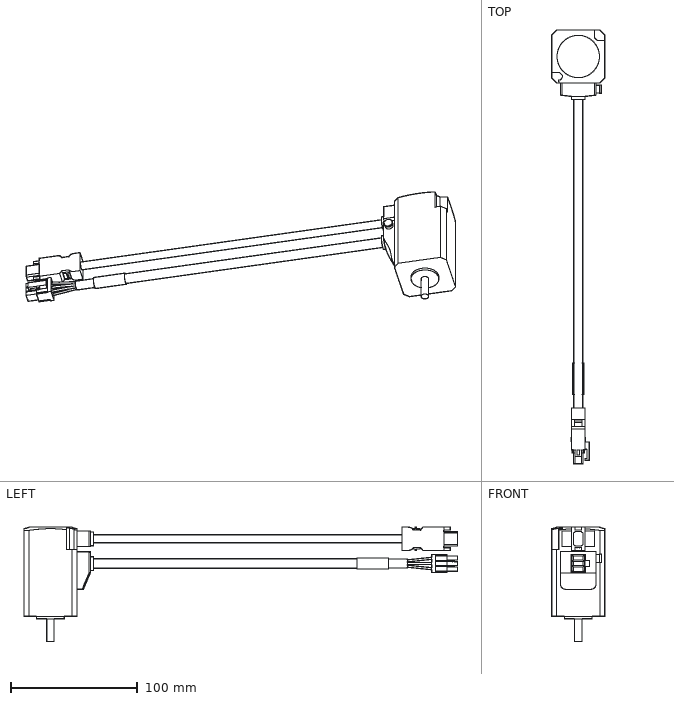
import cadquery as cq
import math


overall_length = 342.0
embed = 1.0

motor_width = 42.0
half_width = motor_width / 2
corner_chamfer = 4.0
motor_top = 70.4
cap_diameter = 36.0
cap_flat_diameter = 33.4
cap_bevel_drop = 0.6
cover_slope = 0.23
pilot_diameter = 22.0
pilot_height = 2.0
shaft_diameter = 6.0
shaft_length = 20.0
screw_pocket_size = 8.3
screw_pocket_chamfer = 2.2
screw_pocket_floor = 52.6
pocket_arc_radius = 3.1
pocket_arc_centre = -15.6
pocket_mouth_x = -15.0

signal_z = 61.1
power_z = 41.6
outlet_edge_y = -30.5
outlet_sag = 1.2
signal_outlet_width = 26.0
signal_outlet_height = 12.4
power_outlet_width = 28.0
power_outlet_top = 50.9
power_outlet_bottom = 21.3
power_slope_top = 34.3
power_slope_foot_y = -24.9
power_outlet_corner = 4.0
collar_end_y = -34.0
collar_diameter = 11.0
ground_screw_y = -25.7
ground_screw_z = 45.7
ground_screw_end_x = 18.2
ground_screw_diameter = 6.2
ground_head_diameter = 6.8
ground_head_height = 1.5

lead_tip_y = half_width - overall_length
signal_cable_diameter = 6.4
signal_housing_start_y = -277.0
signal_housing_end_y = -310.0
signal_housing_width = 11.0
signal_housing_height = 18.6
signal_plug_width = 7.2
signal_plug_height = 11.4
signal_plug_chamfer = 1.2
signal_tab_end_y = -315.3
signal_tab_thickness = 2.4
signal_tab_width = 5.0
signal_tab_slot_width = 1.8
signal_tab_slot_length = 4.0
waist_start_y = -282.0
waist_floor_y = -286.0
waist_end_y = -293.5
waist_depth = 2.4
waist_end_slope = 1.8
clip_length = 5.4
clip_width = 6.2
clip_height = 1.2
clip_pip_offset = 1.4
clip_pip_length = 1.0
clip_pip_height = 2.3

power_cable_diameter = 7.8
sleeve_start_y = -241.5
sleeve_end_y = -266.5
sleeve_diameter = 9.0
core_diameter = 7.2
core_end_y = -281.3
wire_diameter = 1.8
power_housing_start_y = -300.4
power_housing_end_y = -312.4
power_housing_width = 9.8
power_flange_width = 11.3
power_flange_length = 3.0
power_housing_height = 14.4
power_plug_width = 7.6
power_plug_height = 12.2
pin_rows = 3
pin_columns = 2
pin_pitch = 4.2
wire_bundle_pitch = 2.0
pin_gap = 1.0
housing_groove_width = 0.8
housing_groove_depth = 0.6
latch_start_y = -303.8
latch_end_y = -318.3
latch_end_x = 8.8
latch_arm_inner_x = 6.8
latch_height = 5.0
latch_root_end_y = -309.6
latch_hook_length = 1.6
latch_hook_inner_x = 5.2


def box(x0, x1, y0, y1, z0, z1):
    """Axis-aligned block between pairs of opposite limits."""
    size = (abs(x1 - x0), abs(y1 - y0), abs(z1 - z0))
    centre = ((x0 + x1) / 2, (y0 + y1) / 2, (z0 + z1) / 2)
    return cq.Workplane("XY").box(*size).translate(centre)


def centred_box(width, y0, y1, height, z):
    """Block centred on X = 0 and on height z."""
    return box(-width / 2, width / 2, y0, y1, z - height / 2, z + height / 2)


def rod(start, end, diameter):
    """Round bar between two points."""
    axis = cq.Vector(*end) - cq.Vector(*start)
    return cq.Workplane(cq.Solid.makeCylinder(diameter / 2, axis.Length, cq.Vector(*start), axis))


def lead_rod(y0, y1, z, diameter):
    """Round bar along Y on the axis of a lead."""
    return rod((0, y0, z), (0, y1, z), diameter)


def motor_body():
    """Square motor with chamfered corners under a shallow conical cover with a raised flat cap."""
    cap_radius = cap_diameter / 2
    cap_edge_z = motor_top - cap_bevel_drop
    outer_radius = half_width * math.sqrt(2)
    outer_z = cap_edge_z - cover_slope * (outer_radius - cap_radius)
    column = cq.Workplane("XY").rect(motor_width, motor_width).extrude(motor_top)
    column = column.edges("|Z").chamfer(corner_chamfer)
    turned = (
        cq.Workplane("XZ")
        .polyline([
            (0, 0),
            (outer_radius, 0),
            (outer_radius, outer_z),
            (cap_radius, cap_edge_z),
            (cap_flat_diameter / 2, motor_top),
            (0, motor_top),
        ])
        .close()
        .revolve()
    )
    return column.intersect(turned)


def rear_screw_pocket():
    """Square pocket with a chamfered inner corner above the mounting screw in the +X+Y corner."""
    inner = half_width - screw_pocket_size
    pocket = box(inner, half_width, inner, half_width, screw_pocket_floor, motor_top)
    return pocket.edges("|Z").edges("<(1,1,0)").chamfer(screw_pocket_chamfer)


def front_screw_pocket():
    """Pocket in the -X-Y corner, with a rounded lip towards the lead outlets."""
    inner = screw_pocket_size - half_width
    arc_side_x = pocket_arc_centre + pocket_arc_radius
    arc_foot_y = pocket_arc_centre - pocket_arc_radius
    arc_middle = pocket_arc_radius * math.sqrt(0.5)
    return (
        cq.Workplane("XY", origin=(0, 0, screw_pocket_floor))
        .moveTo(-half_width, -half_width)
        .lineTo(-half_width, inner)
        .lineTo(arc_side_x - screw_pocket_chamfer, inner)
        .lineTo(arc_side_x, inner - screw_pocket_chamfer)
        .lineTo(arc_side_x, pocket_arc_centre)
        .threePointArc(
            (pocket_arc_centre + arc_middle, pocket_arc_centre - arc_middle),
            (pocket_arc_centre, arc_foot_y),
        )
        .lineTo(pocket_mouth_x, -half_width)
        .close()
        .extrude(motor_top - screw_pocket_floor)
    )


def motor():
    body = motor_body().cut(rear_screw_pocket()).cut(front_screw_pocket())
    pilot = rod((0, 0, 0), (0, 0, -pilot_height), pilot_diameter)
    shaft = rod((0, 0, 0), (0, 0, -shaft_length), shaft_diameter)
    return body.union(pilot).union(shaft)


def bulged_prism(width, z_start, z_end, shift_y=0.0):
    """Outlet block with a front bulging towards -Y, its section moved by shift_y from start to end."""
    section = (
        cq.Workplane("XY", origin=(0, 0, z_start))
        .moveTo(width / 2, -half_width)
        .lineTo(width / 2, outlet_edge_y)
        .threePointArc((0, outlet_edge_y - outlet_sag), (-width / 2, outlet_edge_y))
        .lineTo(-width / 2, -half_width)
        .close()
    )
    face = cq.Face.makeFromWires(section.vals()[0])
    return cq.Workplane(cq.Solid.extrudeLinear(face, cq.Vector(0, shift_y, z_end - z_start)))


def collar(z):
    """Round collar where a lead leaves its outlet."""
    return lead_rod(outlet_edge_y, collar_end_y, z, collar_diameter)


def signal_outlet():
    half_height = signal_outlet_height / 2
    block = bulged_prism(signal_outlet_width, signal_z - half_height, signal_z + half_height)
    return block.union(collar(signal_z))


def power_outlet():
    """Upright block whose bulged front leans back to the motor below the lead."""
    upright = bulged_prism(power_outlet_width, power_slope_top, power_outlet_top)
    retreat = power_slope_foot_y - outlet_edge_y
    leaning = bulged_prism(power_outlet_width, power_slope_top, power_outlet_bottom, retreat)
    leaning = leaning.faces("<Z").edges("|Y").fillet(power_outlet_corner)
    return upright.union(leaning).union(collar(power_z))


def ground_screw():
    """Screw on the +X side of the power outlet."""
    root = (power_outlet_width / 2 - embed, ground_screw_y, ground_screw_z)
    tip = (ground_screw_end_x, ground_screw_y, ground_screw_z)
    head_start = (ground_screw_end_x - ground_head_height, ground_screw_y, ground_screw_z)
    return rod(root, tip, ground_screw_diameter).union(rod(head_start, tip, ground_head_diameter))


def waist_notch(outer_z, side):
    """Notch across the signal housing: side +1 is on its top, -1 on its bottom."""
    floor_z = outer_z - side * waist_depth
    run = waist_start_y - waist_floor_y
    shoulder_radius = (run**2 + waist_depth**2) / (2 * waist_depth)
    middle_run = run / 2
    middle_drop = shoulder_radius - math.sqrt(shoulder_radius**2 - middle_run**2)
    return (
        cq.Workplane("YZ", origin=(-signal_housing_width / 2, 0, 0))
        .moveTo(waist_start_y, outer_z)
        .threePointArc((waist_start_y - middle_run, outer_z - side * middle_drop), (waist_floor_y, floor_z))
        .lineTo(waist_end_y + waist_end_slope, floor_z)
        .lineTo(waist_end_y, outer_z)
        .close()
        .extrude(signal_housing_width)
    )


def waist_clip(floor_z, side):
    """Low block with a raised pip on the floor of a waist notch."""
    block = box(
        -clip_width / 2, clip_width / 2,
        waist_floor_y, waist_floor_y - clip_length,
        floor_z, floor_z + side * clip_height,
    )
    pip_y = waist_floor_y - clip_pip_offset
    pip = box(
        -clip_width / 2, clip_width / 2,
        pip_y, pip_y - clip_pip_length,
        floor_z, floor_z + side * clip_pip_height,
    )
    return block.union(pip)


def signal_tab(outer_z, side):
    """Slotted tab continuing the top or bottom of the signal housing."""
    inner_z = outer_z - side * signal_tab_thickness
    half_tab = signal_tab_width / 2
    half_slot = signal_tab_slot_width / 2
    slot_end_y = signal_housing_end_y - signal_tab_slot_length
    tab = box(-half_tab, half_tab, signal_housing_end_y, signal_tab_end_y, outer_z, inner_z)
    return tab.cut(box(-half_slot, half_slot, signal_housing_end_y, slot_end_y, outer_z, inner_z))


def signal_connector():
    housing = centred_box(
        signal_housing_width, signal_housing_start_y, signal_housing_end_y, signal_housing_height, signal_z
    )
    plug = centred_box(signal_plug_width, signal_housing_end_y, lead_tip_y, signal_plug_height, signal_z)
    plug = plug.edges("|Y").chamfer(signal_plug_chamfer)
    for side in (-1, 1):
        outer_z = signal_z + side * signal_housing_height / 2
        housing = (
            housing.cut(waist_notch(outer_z, side))
            .union(waist_clip(outer_z - side * waist_depth, side))
            .union(signal_tab(outer_z, side))
        )
    return housing.union(plug)


def signal_lead():
    cable = lead_rod(outlet_edge_y, signal_housing_start_y, signal_z, signal_cable_diameter)
    return cable.union(signal_connector())


def centred_steps(count, pitch):
    """Evenly spaced positions centred on zero."""
    return [(i - (count - 1) / 2) * pitch for i in range(count)]


def power_wires():
    """Wires fanning out from the cable core to the pins."""
    wires = cq.Workplane("XY")
    step = 1
    for column in centred_steps(pin_columns, step):
        for row in centred_steps(pin_rows, step):
            start = (column * wire_bundle_pitch, core_end_y + embed, power_z + row * wire_bundle_pitch)
            end = (column * pin_pitch, power_housing_start_y - embed, power_z + row * pin_pitch)
            wires = wires.union(rod(start, end, wire_diameter))
    return wires


def power_connector():
    housing = centred_box(
        power_housing_width, power_housing_start_y, power_housing_end_y, power_housing_height, power_z
    )
    plug = centred_box(power_plug_width, power_housing_end_y, lead_tip_y, power_plug_height, power_z)
    for gap_z in centred_steps(pin_rows - 1, pin_pitch):
        plug = plug.cut(
            centred_box(power_plug_width, power_housing_end_y, lead_tip_y, pin_gap, power_z + gap_z)
        )
    flange_end_y = power_housing_start_y - power_flange_length
    flange = centred_box(
        power_flange_width, power_housing_start_y, flange_end_y, power_housing_height, power_z
    )
    groove_x = power_housing_width / 2 - housing_groove_depth
    for groove_z in centred_steps(pin_rows + 1, pin_pitch):
        z0 = power_z + groove_z - housing_groove_width / 2
        for side in (-1, 1):
            housing = housing.cut(box(
                side * groove_x, side * power_housing_width / 2,
                flange_end_y, power_housing_end_y, z0, z0 + housing_groove_width,
            ))
    return housing.union(flange).union(plug).union(latch())


def latch():
    """Hooked spring latch on the +X side of the power connector."""
    z0 = power_z - latch_height / 2
    z1 = power_z + latch_height / 2
    root_x = power_housing_width / 2 - housing_groove_depth
    root = box(root_x, latch_end_x, latch_start_y, latch_root_end_y, z0, z1)
    arm = box(latch_arm_inner_x, latch_end_x, latch_root_end_y, latch_end_y, z0, z1)
    hook = box(latch_hook_inner_x, latch_end_x, latch_end_y + latch_hook_length, latch_end_y, z0, z1)
    return root.union(arm).union(hook)


def power_lead():
    cable = lead_rod(outlet_edge_y, sleeve_start_y, power_z, power_cable_diameter)
    sleeve = lead_rod(sleeve_start_y, sleeve_end_y, power_z, sleeve_diameter)
    core = lead_rod(sleeve_end_y, core_end_y, power_z, core_diameter)
    return cable.union(sleeve).union(core).union(power_wires()).union(power_connector())


result = (
    motor()
    .union(signal_outlet())
    .union(power_outlet())
    .union(ground_screw())
    .union(signal_lead())
    .union(power_lead())
)